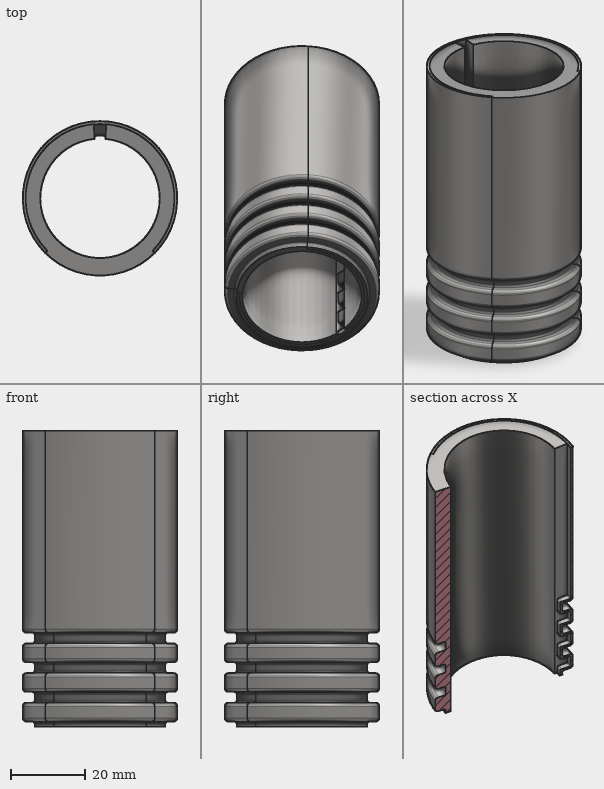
import cadquery as cq

LENGTH = 80.0
OUTER_RADIUS = 20.9
BORE_RADIUS = 16.1

GROOVE_DEPTH = 3.2
GROOVE_WIDTH = 2.9
GROOVE_PITCH = 8.0
GROOVE_COUNT = 4
RIM_FILLET = 1.0
ROOT_FILLET = 0.6

SKIN_THICKNESS = 0.8
SKIN_SPAN = 270.0
SKIN_RIM_FILLET = RIM_FILLET - SKIN_THICKNESS

SLOT_SPAN = 10.0

Y_DIRECTION = 90.0


def ring(outer_radius, inner_radius, height):
    """A plain tube standing on the XY plane."""
    return cq.Workplane("XY").circle(outer_radius).circle(inner_radius).extrude(height)


def groove_cutter(outer_radius, width, rim_fillet, root_fillet):
    """Ring that cuts one groove centred on Z = 0, with flared rims and rounded roots."""
    root_radius = outer_radius - GROOVE_DEPTH
    half_width = width / 2
    beyond = outer_radius + rim_fillet
    rim_center = outer_radius - rim_fillet
    profile = (
        cq.Workplane("XZ")
        .moveTo(beyond, -half_width - rim_fillet)
        .lineTo(outer_radius, -half_width - rim_fillet)
        .radiusArc((rim_center, -half_width), -rim_fillet)
        .lineTo(root_radius + root_fillet, -half_width)
        .radiusArc((root_radius, -half_width + root_fillet), root_fillet)
        .lineTo(root_radius, half_width - root_fillet)
        .radiusArc((root_radius + root_fillet, half_width), root_fillet)
        .lineTo(rim_center, half_width)
        .radiusArc((outer_radius, half_width + rim_fillet), -rim_fillet)
        .lineTo(beyond, half_width + rim_fillet)
        .close()
    )
    return profile.revolve(360, (0, 0, 0), (0, 1, 0))


def grooved_tube(outer_radius, groove_width, rim_fillet, root_fillet):
    """Tube from the bore out to outer_radius, with all the ring grooves."""
    tube = ring(outer_radius, BORE_RADIUS, LENGTH)
    cutter = groove_cutter(outer_radius, groove_width, rim_fillet, root_fillet)
    for index in range(GROOVE_COUNT):
        tube = tube.cut(cutter.translate((0, 0, index * GROOVE_PITCH)))
    return tube


def sector(span):
    """Full-height wedge of the given angle, centred on +Y."""
    reach = 2 * OUTER_RADIUS
    wedge = cq.Workplane("XZ").rect(reach, LENGTH, centered=False).revolve(span, (0, 0, 0), (0, 1, 0))
    return wedge.rotate((0, 0, 0), (0, 0, 1), Y_DIRECTION - span / 2)


outer_form = grooved_tube(OUTER_RADIUS, GROOVE_WIDTH, RIM_FILLET, ROOT_FILLET)
inner_form = grooved_tube(
    OUTER_RADIUS - SKIN_THICKNESS,
    GROOVE_WIDTH + 2 * SKIN_THICKNESS,
    SKIN_RIM_FILLET,
    ROOT_FILLET,
)

skin = outer_form.cut(inner_form).intersect(sector(SKIN_SPAN))

core = outer_form.cut(skin).cut(inner_form.intersect(sector(SLOT_SPAN)))

result = cq.Compound.makeCompound([core.val(), skin.val()])